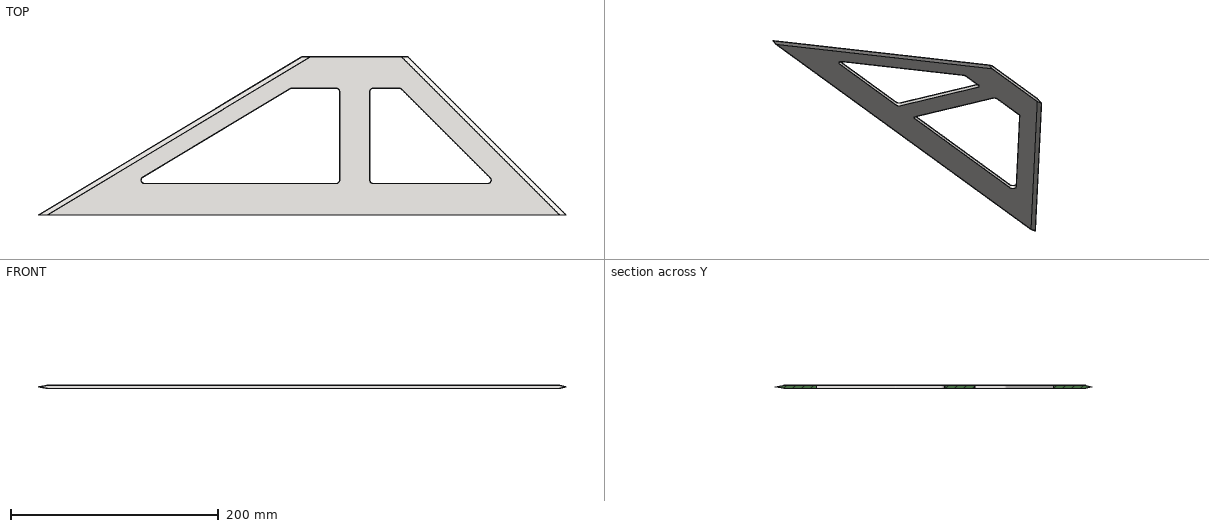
import cadquery as cq
import math

length = 508.0
depth = 152.4
thickness = 3.17
top_edge_length = 102.0
right_run = depth
left_run = length - top_edge_length - right_run
left_tip = -length / 2
right_tip = length / 2

bevel_width = 4.4

rail_width = 30.48
left_margin = 40.0
right_margin = 37.3
web_left = 35.9
web_width = 29.2
web_right = web_left + web_width
window_radius = 3.175


def left_side_x(y):
    """X of the left sloping side at a given Y."""
    return left_tip + left_run * y / depth


def right_side_x(y):
    """X of the right sloping side at a given Y."""
    return right_tip - right_run * y / depth


def make_slab(corners):
    """Full-thickness prism centred on the mid-plane."""
    return cq.Workplane("XY").polyline(corners).close().extrude(thickness / 2, both=True)


def make_plate():
    return make_slab([
        (left_tip, 0),
        (right_tip, 0),
        (right_side_x(depth), depth),
        (left_side_x(depth), depth),
    ])


def cut_knife_edge(body, tip_x, run, inward):
    """Bevel both faces of a sloping side; inward is the X direction into the plate (+1 or -1)."""
    side_length = math.hypot(run, depth)
    along = cq.Vector(inward * run, depth, 0) / side_length
    into_plate = cq.Vector(inward * depth, -run, 0) / side_length

    overrun = 4 * bevel_width
    start = cq.Vector(tip_x, 0, 0) - along * overrun
    section = cq.Plane(origin=start, xDir=into_plate, normal=along)

    half = thickness / 2
    for face in (1, -1):
        wedge = [
            (-bevel_width, -face * half),
            (2 * bevel_width, 2 * face * half),
            (-bevel_width, 2 * face * half),
        ]
        cutter = cq.Workplane(section).polyline(wedge).close().extrude(side_length + 2 * overrun)
        body = body.cut(cutter)
    return body


def make_window(corners):
    return make_slab(corners).edges("|Z").fillet(window_radius)


def cut_windows(body):
    low = rail_width
    high = depth - rail_width
    left_window = [
        (left_side_x(low) + left_margin, low),
        (web_left, low),
        (web_left, high),
        (left_side_x(high) + left_margin, high),
    ]
    right_window = [
        (web_right, low),
        (right_side_x(low) - right_margin, low),
        (right_side_x(high) - right_margin, high),
        (web_right, high),
    ]
    return body.cut(make_window(left_window)).cut(make_window(right_window))


plate = make_plate()
plate = cut_knife_edge(plate, left_tip, left_run, 1)
plate = cut_knife_edge(plate, right_tip, right_run, -1)
result = cut_windows(plate)